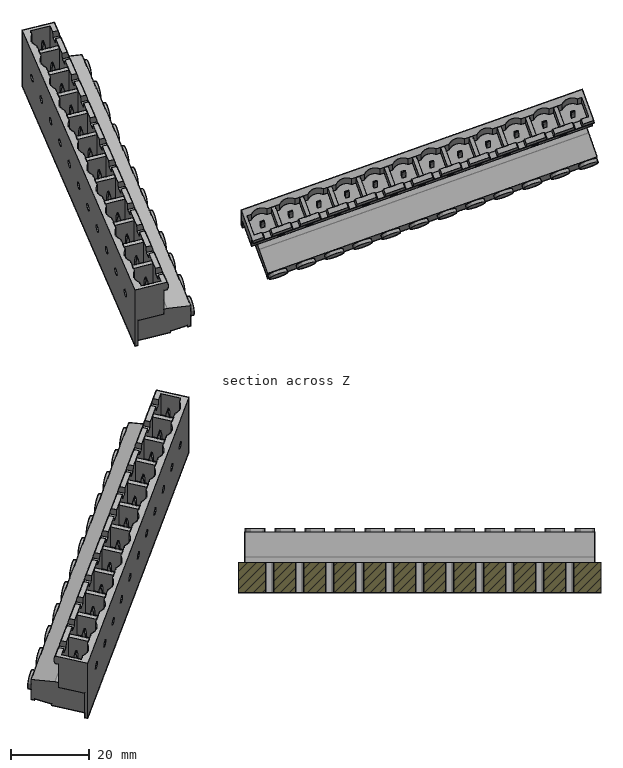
import cadquery as cq

LENGTH = 92.2
HEIGHT = 21.8
OVERALL_DEPTH = 16.4

POSITIONS = 12
END_MARGIN = 4.15
PITCH = (LENGTH - 2 * END_MARGIN) / (POSITIONS - 1)
CONTACT_Y = 4.3

WALL_DEPTH = 7.7

LIP_TOP_Y = 8.6
LIP_DEPTH = 8.9
LIP_BOTTOM_Y = 8.7
LIP_BOTTOM_Z = 18.8
LIP_BULGE_Z = 20.0

END_INSET = 1.6
FRONT_INSET = 0.8
BLOCK_TOP_Z = 9.7
BLOCK_REAR_Y = 15.5
BLOCK_REAR_TOP_Z = 8.5
TOP_SLOPE_Y = 9.1
FOOT_REAR_Y = 10.05
RELIEF_Z = 0.55
RELIEF_REAR_Z = 1.1
HOOK_LENGTH = 0.9

BOSS_DIAMETER = 5.1
BOSS_Z = 5.35

CAVITY_WIDTH = 6.5
CAVITY_FRONT_Y = 1.9
CAVITY_REAR_Y = 7.2
CAVITY_RADIUS = 3.0
CAVITY_CIRCLE_Y = CAVITY_REAR_Y - CAVITY_RADIUS
CAVITY_DEPTH = 8.3
CAVITY_FLOOR_Z = HEIGHT - CAVITY_DEPTH

WEB_DROP = 0.5

PIN_WIDTH = 1.0
PIN_THICKNESS = 0.8
PIN_TIP_THICKNESS = 0.3
PIN_TIP_LENGTH = 1.4
PIN_TOP_Z = 20.1

NOTCH_TOP_WIDTH = 2.4
NOTCH_BOTTOM_WIDTH = 1.75
NOTCH_DEPTH = 1.8

HOLE_DIAMETER = 1.9
HOLE_Z = 11.9

contact_xs = [END_MARGIN + i * PITCH for i in range(POSITIONS)]
hole_xs = [x + PITCH / 2 for x in contact_xs[:-1]]


def make_wall():
    """Front plate and upright wall with the latching lip."""
    outline = (
        cq.Workplane("YZ")
        .lineTo(FRONT_INSET, 0)
        .lineTo(FRONT_INSET, BLOCK_TOP_Z)
        .lineTo(WALL_DEPTH, BLOCK_TOP_Z)
        .lineTo(WALL_DEPTH, LIP_BOTTOM_Z)
        .lineTo(LIP_BOTTOM_Y, LIP_BOTTOM_Z)
        .threePointArc((LIP_DEPTH, LIP_BULGE_Z), (LIP_TOP_Y, HEIGHT))
        .lineTo(0, HEIGHT)
        .close()
    )
    return outline.extrude(LENGTH)


def make_block():
    """Terminal block, relieved underneath with a small hook at the rear edge."""
    hook_y = BLOCK_REAR_Y - HOOK_LENGTH
    outline = [
        (FRONT_INSET, 0),
        (FOOT_REAR_Y, 0),
        (FOOT_REAR_Y, RELIEF_Z),
        (hook_y, RELIEF_REAR_Z),
        (hook_y, RELIEF_Z),
        (BLOCK_REAR_Y, RELIEF_Z),
        (BLOCK_REAR_Y, BLOCK_REAR_TOP_Z),
        (TOP_SLOPE_Y, BLOCK_TOP_Z),
        (FRONT_INSET, BLOCK_TOP_Z),
    ]
    end_face = cq.Workplane("YZ", origin=(END_INSET, 0, 0))
    return end_face.polyline(outline).close().extrude(LENGTH - 2 * END_INSET)


def make_boss(x):
    """Round boss standing on the rear face of the block."""
    height = OVERALL_DEPTH - BLOCK_REAR_Y
    face = cq.Workplane("XZ", origin=(x, OVERALL_DEPTH, BOSS_Z))
    return face.circle(BOSS_DIAMETER / 2).extrude(height)


def make_cavity(x):
    """Pocket around one contact, open at the top."""
    pocket = cq.Workplane("XY").box(
        CAVITY_WIDTH, CAVITY_REAR_Y - CAVITY_FRONT_Y, CAVITY_DEPTH, centered=(True, False, False)
    )
    pocket = pocket.translate((x, CAVITY_FRONT_Y, CAVITY_FLOOR_Z))
    floor = cq.Workplane("XY", origin=(x, CAVITY_CIRCLE_Y, CAVITY_FLOOR_Z))
    return pocket.union(floor.circle(CAVITY_RADIUS).extrude(CAVITY_DEPTH))


def make_web_recess():
    """Shallow slot that lowers the tops of all webs between the end cavities."""
    length = contact_xs[-1] - contact_xs[0]
    slot = cq.Workplane("XY").box(
        length, CAVITY_REAR_Y - CAVITY_FRONT_Y, WEB_DROP, centered=(True, False, False)
    )
    return slot.translate((LENGTH / 2, CAVITY_FRONT_Y, HEIGHT - WEB_DROP))


def make_notch(x):
    """Tapered notch from the cavity out through the lip."""
    floor_z = HEIGHT - NOTCH_DEPTH
    outline = [
        (x - NOTCH_BOTTOM_WIDTH / 2, floor_z),
        (x + NOTCH_BOTTOM_WIDTH / 2, floor_z),
        (x + NOTCH_TOP_WIDTH / 2, HEIGHT),
        (x - NOTCH_TOP_WIDTH / 2, HEIGHT),
    ]
    face = cq.Workplane("XZ", origin=(0, LIP_DEPTH, 0))
    return face.polyline(outline).close().extrude(LIP_DEPTH - CONTACT_Y)


def make_pin(x):
    """Flat contact pin with a wedge tip, standing on the cavity floor."""
    half = PIN_THICKNESS / 2
    half_tip = PIN_TIP_THICKNESS / 2
    shoulder_z = PIN_TOP_Z - PIN_TIP_LENGTH
    outline = [
        (CONTACT_Y - half, CAVITY_FLOOR_Z),
        (CONTACT_Y + half, CAVITY_FLOOR_Z),
        (CONTACT_Y + half, shoulder_z),
        (CONTACT_Y + half_tip, PIN_TOP_Z),
        (CONTACT_Y - half_tip, PIN_TOP_Z),
        (CONTACT_Y - half, shoulder_z),
    ]
    side = cq.Workplane("YZ", origin=(x - PIN_WIDTH / 2, 0, 0))
    return side.polyline(outline).close().extrude(PIN_WIDTH)


def make_hole(x):
    """Round hole through the full depth of the wall."""
    face = cq.Workplane("XZ", origin=(x, WALL_DEPTH, HOLE_Z))
    return face.circle(HOLE_DIAMETER / 2).extrude(WALL_DEPTH)


result = make_wall().union(make_block()).cut(make_web_recess())
for contact_x in contact_xs:
    result = result.union(make_boss(contact_x))
    result = result.cut(make_cavity(contact_x))
    result = result.cut(make_notch(contact_x))
    result = result.union(make_pin(contact_x))
for hole_x in hole_xs:
    result = result.cut(make_hole(hole_x))